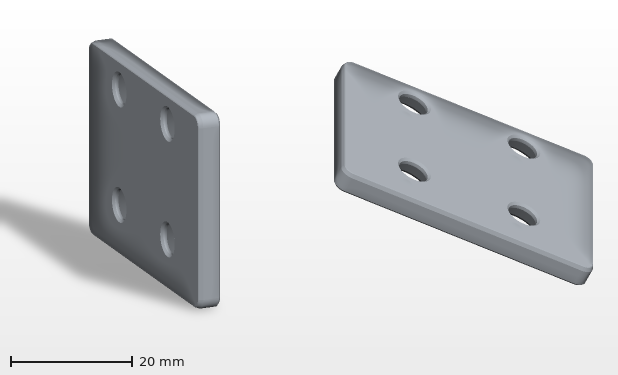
import cadquery as cq

WIDTH = 46.0
HEIGHT = 33.72
THICKNESS = 4.0
CORNER_RADIUS = 2.0
BACK_CHAMFER = 0.4

BEVEL_INSET = 0.4
BEVEL_DEPTH = 0.8
BEVEL_STEP = 0.12

HOLE_SPACING = 20.0
HOLE_TOP_MARGIN = 5.0
HOLE_DIAMETER = 5.2
HOLE_CHAMFER = 0.4

COUNTERBORE_DIAMETER = 8.5
COUNTERBORE_CHAMFER = 0.6
COUNTERBORE_FLOOR = 1.0


def plate_outline(inset, y):
    """Rounded rectangular wire parallel to the front face at y, shrunk by inset on every side."""
    outline = cq.Sketch().rect(WIDTH - 2 * inset, HEIGHT - 2 * inset)
    outline = outline.vertices().fillet(CORNER_RADIUS - inset).reset()
    plane = cq.Plane(origin=(0, y, 0), xDir=(1, 0, 0), normal=(0, -1, 0))
    return outline.faces().val().outerWire().moved(cq.Location(plane))


def plate_layer(start, end):
    """Slice of the plate between two (inset, y) outlines."""
    start_inset, start_y = start
    end_inset, end_y = end
    start_wire = plate_outline(start_inset, start_y)
    end_wire = plate_outline(end_inset, end_y)
    return cq.Workplane(cq.Solid.makeLoft([start_wire, end_wire], True))


def make_plate():
    """Rounded plate with the two-step front bevel and the back chamfer."""
    edge_profile = [
        (BEVEL_INSET, 0),
        (BEVEL_INSET - BEVEL_STEP, BEVEL_STEP),
        (0, BEVEL_DEPTH),
        (0, THICKNESS - BACK_CHAMFER),
        (BACK_CHAMFER, THICKNESS),
    ]
    plate = cq.Workplane("XZ")
    for start, end in zip(edge_profile, edge_profile[1:]):
        plate = plate.add(plate_layer(start, end))
    return plate.combine()


def make_hole_cutter():
    """Chamfered through hole with a chamfered counterbore, revolved about the Y axis."""
    hole_radius = HOLE_DIAMETER / 2
    bore_radius = COUNTERBORE_DIAMETER / 2
    half_section = [
        (0, 0),
        (hole_radius + HOLE_CHAMFER, 0),
        (hole_radius, HOLE_CHAMFER),
        (hole_radius, COUNTERBORE_FLOOR),
        (bore_radius, COUNTERBORE_FLOOR),
        (bore_radius, THICKNESS - COUNTERBORE_CHAMFER),
        (bore_radius + COUNTERBORE_CHAMFER, THICKNESS),
        (0, THICKNESS),
    ]
    return cq.Workplane("XY").polyline(half_section).close().revolve(360, (0, 0, 0), (0, 1, 0))


def cut_holes(plate):
    """Cut the square pattern of screw holes, centred across the width."""
    top_row = HEIGHT / 2 - HOLE_TOP_MARGIN
    cutter = make_hole_cutter()
    for x in (-HOLE_SPACING / 2, HOLE_SPACING / 2):
        for z in (top_row, top_row - HOLE_SPACING):
            plate = plate.cut(cutter.translate((x, 0, z)))
    return plate


result = cut_holes(make_plate())